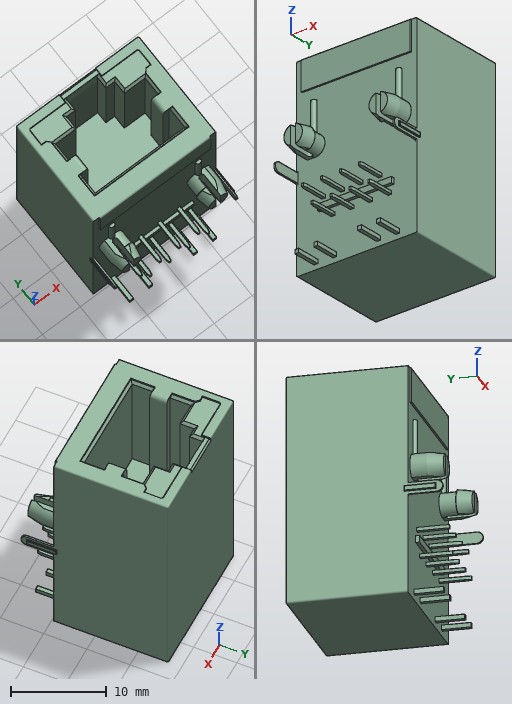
import cadquery as cq


HEIGHT = 25.4
WIDTH = 16.2
DEPTH = 13.25
EDGE_RADIUS = 0.2
SHEET = 0.2

CAVITY_DEPTH = 12.7
FLOOR_Y = 2.5
STEPS = [(5.92, 9.3), (3.18, 10.95), (2.0, 12.35)]
LEAD_IN = 0.3
LATCH_LEAD_Y = 12.55
LATCH_LEAD_DEPTH = 1.52
LATCH_NOTCH_HALF = 2.4
RIM_CHAMFER = 0.2

WINDOW_OUTER_X = 7.21
WINDOW_TOP_Y = 12.15
WINDOW_BOTTOM_Y = 10.0
WINDOW_CORNER = 0.15
WINDOW_BEVEL = 0.38

SPRING_Y = (4.98, 6.95)
SPRING_INNER_X = 4.93
SPRING_THICKNESS = 0.81
SPRING_BEND = 0.5

PAD_WIDTH = 14.63
PAD_HEIGHT = 3.85
PAD_PROUD = 0.2

PEG_X = 5.72
PEG_Z = 14.65
PEG_RADIUS = 1.6
PEG_TIP_RADIUS = 1.25
PEG_FLATS = 2.65
PEG_STRAIGHT = 1.85
PEG_LENGTH = 3.53
NECK_OFFSET = 0.13
SLOT_WIDTH = 0.64
SLOT_ROOT = 0.4
RIB_TOP_Z = 20.02
RIB_RADIUS = 0.35
RIB_PROUD = 0.4

TAB_Z = 11.6
TAB_WIDTH = 1.27
TAB_LENGTH = 3.78
TAB_THICKNESS = 0.23
TAB_ROOT_RADIUS = 0.15
BEAD_WIDTH = 0.6
BEAD_PROUD = 0.18
BEAD_Y = (-3.07, 0.38)
BEAD_CHAMFER = 0.08

PIN_WIDTH = 0.45
PIN_HEIGHT = 0.38
PIN_LENGTH = 3.53
PIN_TAPER_LENGTH = 0.5
PIN_TAPER = 0.1
PIN_PITCH = 2.55
PINS_PER_ROW = 4
PIN_ROWS = [(-4.45, 8.28), (-3.18, 5.8)]
BAR_WIDTH = 9.95
BAR_HEIGHT = 0.75
BAR_Z = 7.05
BAR_PROUD = 0.4

LED_PIN_SIZE = 0.5
LED_PIN_LENGTH = 3.2
LED_PIN_X = (2.95, 5.49)
LED_PIN_Z = 0.91

EMBED = 0.25


def block(x_range, y_range, z_range):
    """Axis-aligned box from its limits."""
    (x0, x1), (y0, y1), (z0, z1) = x_range, y_range, z_range
    return cq.Workplane("XY").box(x1 - x0, y1 - y0, z1 - z0, centered=False).translate((x0, y0, z0))


def board_block(x, z, width, height, length):
    """Box standing on the board face, centred on (x, z)."""
    return block((x - width / 2, x + width / 2), (-length, EMBED), (z - height / 2, z + height / 2))


def both_sides(piece):
    """The piece and its mirror image across the X = 0 plane."""
    return piece.union(piece.mirror("YZ"))


def cavity_outline(grow):
    """Stepped cavity outline, every wall moved outward by grow."""
    right = [(STEPS[0][0] + grow, FLOOR_Y - grow)]
    lower_y = None
    for half_width, upper_y in STEPS:
        if lower_y is not None:
            right.append((half_width + grow, lower_y))
        right.append((half_width + grow, upper_y + grow))
        lower_y = upper_y + grow
    left = [(-x, y) for x, y in reversed(right)]
    return right + left


def make_housing():
    body = block((-WIDTH / 2, WIDTH / 2), (0, DEPTH), (0, HEIGHT))
    body = body.edges("not(<Y)").fillet(EDGE_RADIUS)
    pad = block((-PAD_WIDTH / 2, PAD_WIDTH / 2), (-PAD_PROUD, 2 * EMBED), (HEIGHT - PAD_HEIGHT, HEIGHT))
    pad = pad.edges("<Y and >Z").fillet(EDGE_RADIUS)
    notch_x = (-LATCH_NOTCH_HALF, LATCH_NOTCH_HALF)
    notch_y = (WINDOW_TOP_Y, DEPTH)
    rim_z = HEIGHT - SHEET
    bottom_z = rim_z - 2 * RIM_CHAMFER
    low_rim = block(notch_x, notch_y, (bottom_z, rim_z)).edges(">Y and >Z").chamfer(RIM_CHAMFER)
    body = body.cut(block(notch_x, notch_y, (bottom_z, HEIGHT))).union(low_rim)
    return body.union(pad)


def make_cavity():
    mouth_z = HEIGHT - SHEET
    bore = (
        cq.Workplane("XY").workplane(offset=HEIGHT - CAVITY_DEPTH)
        .polyline(cavity_outline(0)).close().extrude(CAVITY_DEPTH)
    )
    lead_in = (
        cq.Workplane("XY").workplane(offset=mouth_z - LEAD_IN)
        .polyline(cavity_outline(0)).close()
        .workplane(offset=LEAD_IN).polyline(cavity_outline(LEAD_IN)).close()
        .loft(ruled=True)
    )
    latch_half, latch_y = STEPS[-1]
    lead_in = lead_in.cut(
        block((-WIDTH, WIDTH), (latch_y, DEPTH), (mouth_z - LEAD_IN, HEIGHT)))
    latch_lead = (
        cq.Workplane("YZ")
        .polyline([(latch_y, mouth_z - LATCH_LEAD_DEPTH), (latch_y, mouth_z), (LATCH_LEAD_Y, mouth_z)])
        .close().extrude(latch_half, both=True)
    )
    latch_side = both_sides(
        cq.Workplane("XZ", origin=(0, latch_y, 0))
        .polyline([(latch_half, mouth_z - LEAD_IN), (latch_half, mouth_z), (latch_half + LEAD_IN, mouth_z)])
        .close().extrude(latch_y - LATCH_LEAD_Y)
    )
    opening = (
        cq.Workplane("XY").workplane(offset=mouth_z)
        .polyline(cavity_outline(LEAD_IN)).close().extrude(SHEET)
    )
    return bore.union(lead_in).union(latch_lead).union(latch_side).union(opening)


def make_window_recess():
    """Sheet-deep openings for the indicator windows."""
    side_x = STEPS[0][0] + LEAD_IN
    shoulder_y = STEPS[0][1] + LEAD_IN
    outline = [
        (0, WINDOW_TOP_Y),
        (WINDOW_OUTER_X - WINDOW_CORNER, WINDOW_TOP_Y),
        (WINDOW_OUTER_X, WINDOW_TOP_Y - WINDOW_CORNER),
        (WINDOW_OUTER_X, WINDOW_BOTTOM_Y),
        (side_x + WINDOW_BEVEL, WINDOW_BOTTOM_Y),
        (side_x, shoulder_y),
        (0, shoulder_y),
    ]
    mouth_z = HEIGHT - SHEET
    return both_sides(
        cq.Workplane("XY").workplane(offset=mouth_z).polyline(outline).close().extrude(SHEET))


def make_springs():
    leaf = block((SPRING_INNER_X, SPRING_INNER_X + SPRING_THICKNESS), SPRING_Y,
                 (HEIGHT - CAVITY_DEPTH - EMBED, HEIGHT))
    bridge = block((SPRING_INNER_X + SPRING_THICKNESS, STEPS[0][0] + LEAD_IN + EMBED), SPRING_Y,
                   (HEIGHT - SHEET, HEIGHT))
    leaf = leaf.edges("<X and >Z").fillet(SPRING_BEND)
    return both_sides(leaf.union(bridge))


def make_pegs():
    peg = (
        cq.Workplane("XY")
        .polyline([(0, EMBED), (PEG_RADIUS, EMBED), (PEG_RADIUS, -PEG_STRAIGHT),
                   (PEG_TIP_RADIUS, -PEG_LENGTH), (0, -PEG_LENGTH)])
        .close().revolve(360, (0, 0, 0), (0, 1, 0))
    )
    flats = block((-PEG_RADIUS, PEG_RADIUS), (-PEG_LENGTH, EMBED), (-PEG_FLATS / 2, PEG_FLATS / 2))
    slot_radius = SLOT_WIDTH / 2
    slot_straight_y = -SLOT_ROOT - slot_radius
    slot = (
        cq.Workplane("XY")
        .moveTo(-slot_radius, -PEG_LENGTH).lineTo(-slot_radius, slot_straight_y)
        .threePointArc((0, -SLOT_ROOT), (slot_radius, slot_straight_y))
        .lineTo(slot_radius, -PEG_LENGTH).close()
        .extrude(PEG_RADIUS, both=True)
    )
    neck_shell = block((-PEG_RADIUS, 0), (-PEG_STRAIGHT, 0), (-PEG_RADIUS, PEG_RADIUS))
    neck = (
        cq.Workplane("XZ").center(-NECK_OFFSET, 0)
        .circle(PEG_FLATS / 2).extrude(PEG_STRAIGHT)
    )
    peg = peg.cut(neck_shell.cut(neck))
    peg = peg.intersect(flats).cut(slot).translate((PEG_X, 0, PEG_Z))
    rib_bottom_z = PEG_Z + PEG_FLATS / 2
    rib = (
        cq.Workplane("XY").workplane(offset=rib_bottom_z)
        .center(PEG_X, RIB_RADIUS - RIB_PROUD).circle(RIB_RADIUS).extrude(RIB_TOP_Z - rib_bottom_z)
    )
    return both_sides(peg.union(rib))


def make_ground_tabs():
    outer_x = WIDTH / 2
    half = TAB_WIDTH / 2
    tab = (
        cq.Workplane("YZ").workplane(offset=outer_x - TAB_THICKNESS)
        .moveTo(EMBED, TAB_Z - half).lineTo(half - TAB_LENGTH, TAB_Z - half)
        .threePointArc((-TAB_LENGTH, TAB_Z), (half - TAB_LENGTH, TAB_Z + half))
        .lineTo(EMBED, TAB_Z + half).close().extrude(TAB_THICKNESS)
    )
    root = block((outer_x - TAB_THICKNESS, outer_x), (0, EMBED),
                 (TAB_Z - TAB_WIDTH, TAB_Z + TAB_WIDTH))
    tab = tab.union(root)
    for side in (-half, half):
        corner = (outer_x - TAB_THICKNESS / 2, 0, TAB_Z + side)
        tab = tab.edges(cq.NearestToPointSelector(corner)).fillet(TAB_ROOT_RADIUS)
    bead = block((outer_x - TAB_THICKNESS / 2, outer_x + BEAD_PROUD), BEAD_Y,
                 (TAB_Z - BEAD_WIDTH / 2, TAB_Z + BEAD_WIDTH / 2))
    bead = bead.faces(">X").edges().chamfer(BEAD_CHAMFER)
    return both_sides(tab.union(bead))


def signal_pin(x, z):
    half = PIN_WIDTH / 2
    taper_y = PIN_TAPER_LENGTH - PIN_LENGTH
    outline = [
        (-half, EMBED), (half, EMBED), (half, taper_y), (half - PIN_TAPER, -PIN_LENGTH),
        (PIN_TAPER - half, -PIN_LENGTH), (-half, taper_y),
    ]
    pin = cq.Workplane("XY").polyline(outline).close().extrude(PIN_HEIGHT / 2, both=True)
    return pin.translate((x, 0, z))


result = make_housing().cut(make_cavity()).cut(make_window_recess())
result = result.union(make_springs()).union(make_pegs()).union(make_ground_tabs())
result = result.union(board_block(0, BAR_Z, BAR_WIDTH, BAR_HEIGHT, BAR_PROUD))
for first_x, row_z in PIN_ROWS:
    for i in range(PINS_PER_ROW):
        result = result.union(signal_pin(first_x + i * PIN_PITCH, row_z))
for pin_x in LED_PIN_X:
    led_pin = board_block(pin_x, LED_PIN_Z, LED_PIN_SIZE, LED_PIN_SIZE, LED_PIN_LENGTH)
    result = result.union(both_sides(led_pin))